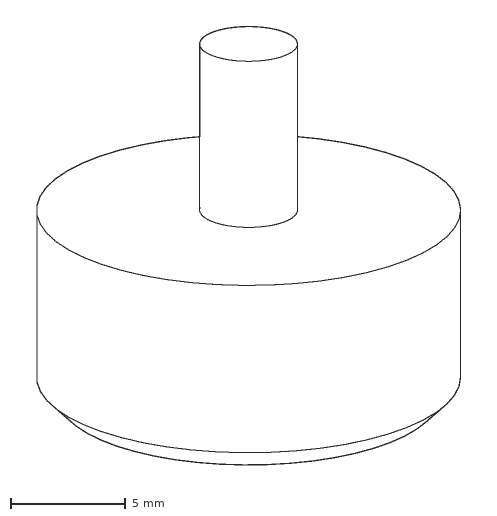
import cadquery as cq

total_height = 19.1
body_diameter = 18.6
pin_diameter = 4.3
pin_length = 7.8
chamfer = 0.94
cone_height = 2.52

body_radius = body_diameter / 2
pin_radius = pin_diameter / 2
cone_radius = body_radius - chamfer
body_top = total_height - pin_length
body_bottom = cone_height + chamfer

profile = (
    cq.Workplane("XZ")
    .moveTo(0, 0)
    .lineTo(cone_radius, cone_height)
    .lineTo(body_radius, body_bottom)
    .lineTo(body_radius, body_top)
    .lineTo(pin_radius, body_top)
    .lineTo(pin_radius, total_height)
    .lineTo(0, total_height)
    .close()
)

result = profile.revolve(360, (0, 0), (0, 1))